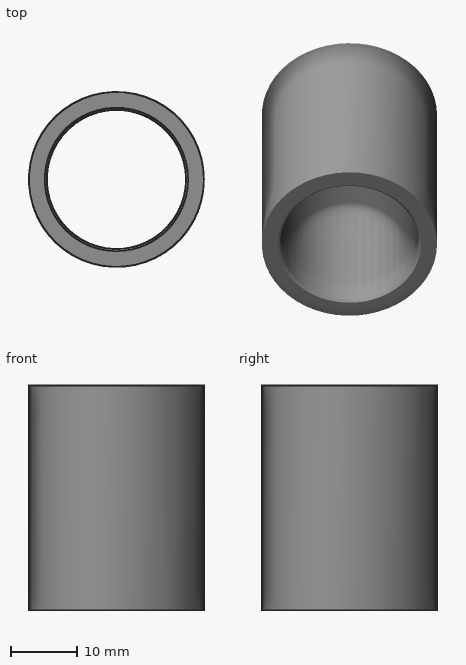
import cadquery as cq

length = 34.0
outer_diameter = 26.5
bore_diameter = 21.0
bore_chamfer = 0.35

sleeve = (
    cq.Workplane("XY")
    .circle(outer_diameter / 2)
    .circle(bore_diameter / 2)
    .extrude(length)
)

bore_rims = sleeve.faces("<Z or >Z").edges(cq.selectors.RadiusNthSelector(0))
result = bore_rims.chamfer(bore_chamfer)